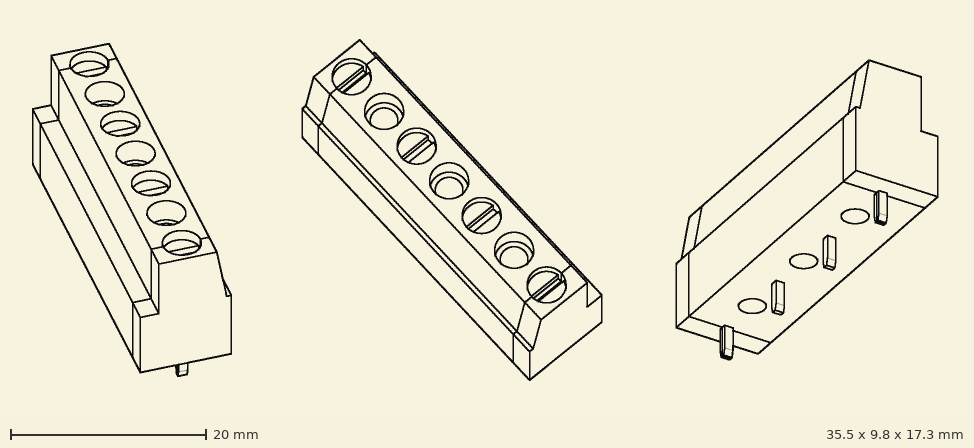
import cadquery as cq


length = 35.55
width = 9.8
total_height = 17.3
pin_length = 3.5
housing_height = total_height - pin_length

station_count = 7
pitch = length / station_count
station_x = [(i + 0.5) * pitch for i in range(station_count)]
screw_x = station_x[0::2]
wire_x = station_x[1::2]
row_y = 5.3

front_ledge_depth = 2.0
front_ledge_height = 7.3
back_ledge_depth = 0.5
back_ledge_height = 7.7
top_back_setback = 1.55

bore_diameter = 4.0
screw_bore_depth = 1.2
slot_width = 0.9
slot_depth = 1.0

wire_bore_depth = 2.52
wire_hole_diameter = 2.85

pin_width = 0.9
pin_thickness = 1.0
pin_tip_width = 0.5
pin_taper_height = 0.8


def housing_blank():
    """Stepped cross-section with a sloping back wall, extruded along the whole row."""
    return (
        cq.Workplane("YZ")
        .moveTo(0, 0)
        .lineTo(width, 0)
        .lineTo(width, back_ledge_height)
        .lineTo(width - back_ledge_depth, back_ledge_height)
        .lineTo(width - top_back_setback, housing_height)
        .lineTo(front_ledge_depth, housing_height)
        .lineTo(front_ledge_depth, front_ledge_height)
        .lineTo(0, front_ledge_height)
        .close()
        .extrude(length)
    )


def round_hole(x, diameter, depth):
    """Vertical cylinder going down from the top face."""
    return (
        cq.Workplane("XY", origin=(x, row_y, housing_height))
        .circle(diameter / 2)
        .extrude(-depth)
    )


def screw_recess(x):
    """Round bore down to the screw head, with the driver slot across the head."""
    slot_box = (
        cq.Workplane("XY", origin=(x, row_y, housing_height))
        .rect(slot_width, bore_diameter)
        .extrude(-(screw_bore_depth + slot_depth))
    )
    slot = slot_box.intersect(round_hole(x, bore_diameter, housing_height))
    return round_hole(x, bore_diameter, screw_bore_depth).union(slot)


def wire_hole(x):
    """Through hole with a wider bore at the top."""
    return round_hole(x, bore_diameter, wire_bore_depth).union(
        round_hole(x, wire_hole_diameter, housing_height)
    )


def solder_pin(x):
    """Flat pin below the housing, tapering in width at its tip."""
    taper_z = pin_taper_height - pin_length
    return (
        cq.Workplane("XZ", origin=(x, row_y, 0))
        .moveTo(-pin_width / 2, 0)
        .lineTo(pin_width / 2, 0)
        .lineTo(pin_width / 2, taper_z)
        .lineTo(pin_tip_width / 2, -pin_length)
        .lineTo(-pin_tip_width / 2, -pin_length)
        .lineTo(-pin_width / 2, taper_z)
        .close()
        .extrude(pin_thickness / 2, both=True)
    )


def full_row():
    """The complete terminal row before it is divided."""
    row = housing_blank()
    for x in screw_x:
        row = row.cut(screw_recess(x)).union(solder_pin(x))
    for x in wire_x:
        row = row.cut(wire_hole(x))
    return row


def row_section(row, x_start, x_end):
    """The part of the row between two planes across X."""
    slab = cq.Workplane("XY", origin=(x_start, 0, -pin_length)).box(
        x_end - x_start, width, total_height, centered=False
    )
    return row.intersect(slab).solids()


first_joint_x = screw_x[0]
last_joint_x = screw_x[-1]

terminal_row = full_row()
left_end_block = row_section(terminal_row, 0, first_joint_x)
middle_block = row_section(terminal_row, first_joint_x, last_joint_x)
right_end_block = row_section(terminal_row, last_joint_x, length)

result = cq.Compound.makeCompound([left_end_block.val(), middle_block.val(), right_end_block.val()])